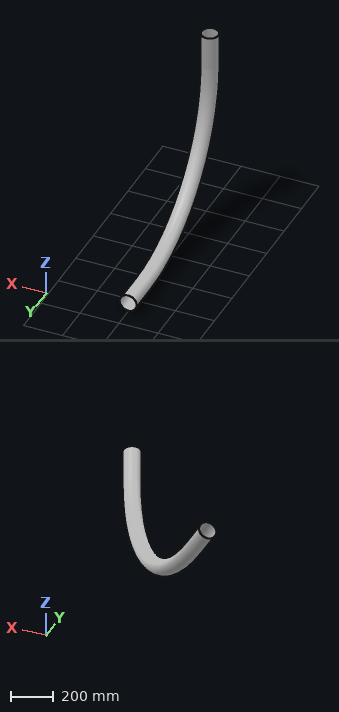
import cadquery as cq

outer_diameter = 88.9
inner_diameter = 84.68
bend_radius = 762.0
tangent_length = 177.8
bend_angle = 90.0



def ring(plane):
    """Annular pipe section centred on the plane's origin."""
    return cq.Workplane(plane).circle(outer_diameter / 2).circle(inner_diameter / 2)


def upright_tangent():
    """Straight pipe rising in +Z from the upper end of the bend."""
    plane = cq.Plane(origin=(0, 0, bend_radius), xDir=(1, 0, 0), normal=(0, 0, 1))
    return ring(plane).extrude(tangent_length)


def level_tangent():
    """Straight pipe running in +Y from the lower end of the bend."""
    plane = cq.Plane(origin=(0, bend_radius, 0), xDir=(1, 0, 0), normal=(0, 1, 0))
    return ring(plane).extrude(tangent_length)


def bend():
    """Quarter-torus pipe, revolved about an X-direction axis from the upper end to the lower."""
    plane = cq.Plane(origin=(0, 0, bend_radius), xDir=(1, 0, 0), normal=(0, 0, 1))
    axis_start = (0, bend_radius)
    axis_end = (1, bend_radius)
    return ring(plane).revolve(bend_angle, axis_start, axis_end)


result = bend().union(upright_tangent()).union(level_tangent())